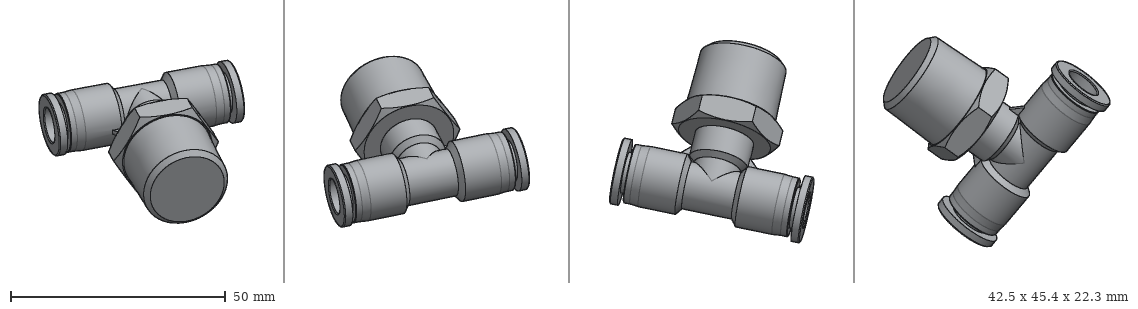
import cadquery as cq
import math


TUBE_DIA = 11.2
SOCKET_DIA = 14.4
SOCKET_END_DIA = 14.0
BRANCH_DIA = 14.0
SHOULDER_START = 5.95
SHOULDER_END = SOCKET_DIA / 2
TAPER_START = 16.0
TAPER_END = 18.02
SOCKET_END = 19.6
SOCKET_CHAMFER = 0.2
BORE_DIA = 8.2

GUSSET_THICKNESS = 1.15
GUSSET_REACH = 16.65

SLEEVE_NECK_DIA = 9.7
SLEEVE_LENGTH = 4.68
FLANGE_WIDTH = 16.0
FLANGE_HEIGHT = 14.0
FLANGE_THICKNESS = 2.0
FLANGE_CHAMFER = 0.25
BORE_CHAMFER = 0.25
SLEEVE_OUTER_END = 22.7
SLEEVE_INNER_END = SLEEVE_OUTER_END - SLEEVE_LENGTH

HEX_SIDES = 6
HEX_START = 13.45
HEX_LENGTH = 6.05
HEX_END = HEX_START + HEX_LENGTH
HEX_ACROSS_FLATS = 22.25
HEX_FACE_DIA = 21.97
HEX_CHAMFER_ANGLE = 30
THREAD_ROOT_DIA = 21.4
THREAD_TIP_DIA = 20.55
THREAD_CHAMFER = 1.23
STUD_END = 34.5


def turned_on_y(profile):
    """Solid turned about the Y axis from (radius, y) points."""
    return cq.Workplane("XY").polyline(profile).close().revolve(360, (0, 0, 0), (0, 1, 0))


def turned_on_x(profile):
    """Solid turned about the X axis from (x, radius) points."""
    return cq.Workplane("XY").polyline(profile).close().revolve(360, (0, 0, 0), (1, 0, 0))


def along_y(start, side):
    """Workplane across the run at the given distance, facing outward on one side."""
    return cq.Workplane(cq.Plane((0, side * start, 0), (1, 0, 0), (0, side, 0)))


def run_arm(side):
    """One half of the run: slim tube, shoulder cone, socket and tapered rim."""
    return turned_on_y([
        (0, 0),
        (TUBE_DIA / 2, 0),
        (TUBE_DIA / 2, side * SHOULDER_START),
        (SOCKET_DIA / 2, side * SHOULDER_END),
        (SOCKET_DIA / 2, side * TAPER_START),
        (SOCKET_END_DIA / 2, side * TAPER_END),
        (SOCKET_END_DIA / 2, side * (SOCKET_END - SOCKET_CHAMFER)),
        (SOCKET_END_DIA / 2 - SOCKET_CHAMFER, side * SOCKET_END),
        (0, side * SOCKET_END),
    ])


def branch():
    return turned_on_x([
        (0, 0),
        (0, TUBE_DIA / 2),
        (SHOULDER_START, TUBE_DIA / 2),
        (SHOULDER_END, BRANCH_DIA / 2),
        (HEX_START, BRANCH_DIA / 2),
        (HEX_START, 0),
    ])


def gussets():
    """Web in the middle plane; only its sloping corners show beside the branch."""
    half_width_at_hex = GUSSET_REACH - HEX_START
    outline = [
        (0, -GUSSET_REACH),
        (HEX_START, -half_width_at_hex),
        (HEX_START, half_width_at_hex),
        (0, GUSSET_REACH),
    ]
    return cq.Workplane("XY").polyline(outline).close().extrude(GUSSET_THICKNESS / 2, both=True)


def socket_bore(side):
    """Tube bore down to the shoulder, with a recess that holds the sleeve."""
    bore = along_y(SHOULDER_END, side).circle(BORE_DIA / 2).extrude(SOCKET_END - SHOULDER_END)
    recess = (
        along_y(SLEEVE_INNER_END, side)
        .circle(SLEEVE_NECK_DIA / 2)
        .extrude(SOCKET_END - SLEEVE_INNER_END)
    )
    return bore.union(recess)


def make_housing():
    housing = run_arm(1).union(run_arm(-1)).union(branch()).union(gussets())
    for side in (1, -1):
        housing = housing.cut(socket_bore(side))
    return housing


def make_sleeve(side):
    """Release sleeve: round neck with an elliptical flange and a chamfered bore."""
    flange_start = SLEEVE_OUTER_END - FLANGE_THICKNESS
    neck = (
        along_y(SLEEVE_INNER_END, side)
        .circle(SLEEVE_NECK_DIA / 2)
        .extrude(flange_start - SLEEVE_INNER_END)
    )
    flange = (
        along_y(flange_start, side)
        .ellipse(FLANGE_WIDTH / 2, FLANGE_HEIGHT / 2)
        .extrude(FLANGE_THICKNESS)
        .faces(">Y" if side > 0 else "<Y").chamfer(FLANGE_CHAMFER)
    )
    bore = along_y(SLEEVE_INNER_END, side).circle(BORE_DIA / 2).extrude(SLEEVE_LENGTH)
    bore_mouth = turned_on_y([
        (0, side * (SLEEVE_OUTER_END - BORE_CHAMFER)),
        (BORE_DIA / 2, side * (SLEEVE_OUTER_END - BORE_CHAMFER)),
        (BORE_DIA / 2 + BORE_CHAMFER, side * SLEEVE_OUTER_END),
        (0, side * SLEEVE_OUTER_END),
    ])
    return neck.union(flange).cut(bore).cut(bore_mouth)


def hex_collar():
    """Hexagon with flats facing +Z and -Z, corners chamfered on both faces."""
    corner_radius = HEX_ACROSS_FLATS / 2 / math.cos(math.pi / HEX_SIDES)
    chamfer = (corner_radius - HEX_FACE_DIA / 2) * math.tan(math.radians(HEX_CHAMFER_ANGLE))
    prism = (
        cq.Workplane("YZ", origin=(HEX_START, 0, 0))
        .polygon(HEX_SIDES, 2 * corner_radius)
        .extrude(HEX_LENGTH)
    )
    envelope = turned_on_x([
        (HEX_START, 0),
        (HEX_START, HEX_FACE_DIA / 2),
        (HEX_START + chamfer, corner_radius),
        (HEX_END - chamfer, corner_radius),
        (HEX_END, HEX_FACE_DIA / 2),
        (HEX_END, 0),
    ])
    return prism.intersect(envelope)


def thread_barrel():
    """Tapered thread barrel with a chamfered tip."""
    return turned_on_x([
        (HEX_END, 0),
        (HEX_END, THREAD_ROOT_DIA / 2),
        (STUD_END - THREAD_CHAMFER, THREAD_TIP_DIA / 2),
        (STUD_END, THREAD_TIP_DIA / 2 - THREAD_CHAMFER),
        (STUD_END, 0),
    ])


def make_stud():
    return hex_collar().union(thread_barrel())


housing = make_housing()
sleeves = [make_sleeve(side) for side in (1, -1)]
stud = make_stud()

result = cq.Compound.makeCompound([
    housing.val(),
    *[sleeve.val() for sleeve in sleeves],
    stud.val(),
])